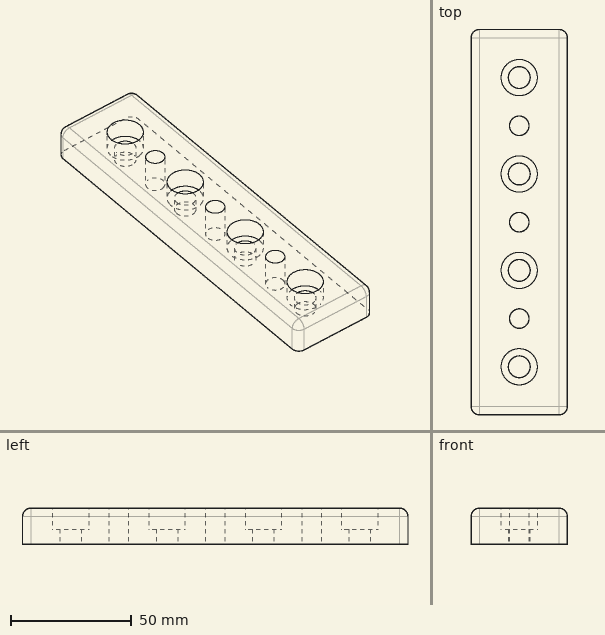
import cadquery as cq

length = 160.0
width = 40.0
height = 15.0
edge_radius = 3.5

hole_pitch = 20.0
plain_hole_diameter = 8.0
bolt_hole_diameter = 9.0
counterbore_diameter = 15.0
counterbore_depth = 9.0

bolt_positions = [(0, step * hole_pitch) for step in (-3, -1, 1, 3)]
plain_positions = [(0, step * hole_pitch) for step in (-2, 0, 2)]

bar = (
    cq.Workplane("XY")
    .box(width, length, height, centered=(True, True, False))
    .edges("|Z")
    .fillet(edge_radius)
    .faces(">Z")
    .edges()
    .fillet(edge_radius)
)

bar = (
    bar.faces(">Z")
    .workplane(origin=(0, 0, height))
    .pushPoints(bolt_positions)
    .cboreHole(bolt_hole_diameter, counterbore_diameter, counterbore_depth)
)

result = (
    bar.faces(">Z")
    .workplane(origin=(0, 0, height))
    .pushPoints(plain_positions)
    .hole(plain_hole_diameter)
)